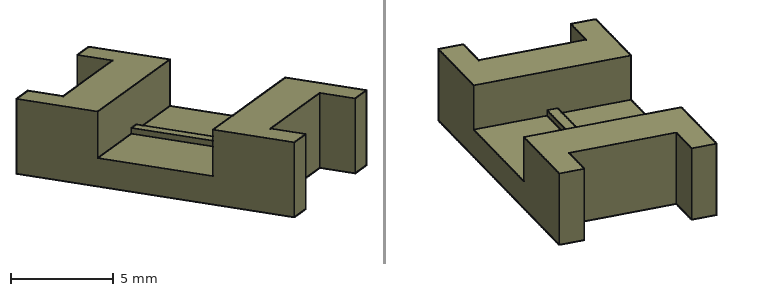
import cadquery as cq

length = 15.0
width = 8.38
height = 3.9

channel_length = 6.22
floor_height = 1.48

rib_width = 0.57
rib_height = 0.3

notch_depth = 1.9
leg_width = 1.34
notch_width = width - 2 * leg_width


def base_box(size_x, size_y, size_z):
    """Box centred in X and Y, standing on Z = 0."""
    return cq.Workplane("XY").box(size_x, size_y, size_z, centered=(True, True, False))


body = base_box(length, width, height)
channel = base_box(channel_length, width, height - floor_height)
body = body.cut(channel.translate((0, 0, floor_height)))

notch = base_box(notch_depth, notch_width, height)
notch_center = (length - notch_depth) / 2
for side in (-1, 1):
    body = body.cut(notch.translate((side * notch_center, 0, 0)))

rib = base_box(channel_length, rib_width, floor_height + rib_height)
result = body.union(rib)